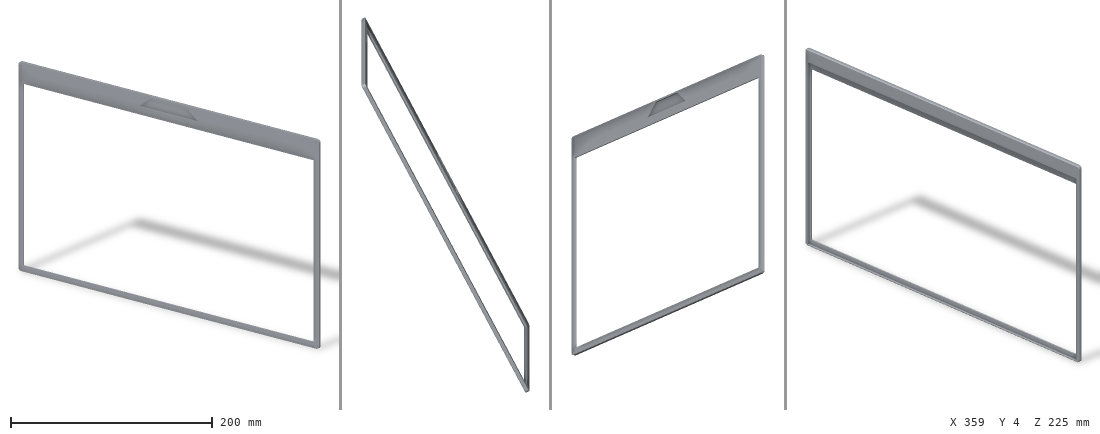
import cadquery as cq

width = 359.0
thickness = 4.0
height = 225.0
corner_radius = 3.2
rear_chamfer = 0.7

side_border = 6.0
top_border = 22.5
bottom_border = 6.5

skin_thickness = 1.5
side_rim = 3.5
top_rim = 14.5
bottom_rim = 1.5

recess_bottom_width = 71.0
recess_top_width = 41.0
recess_top_gap = 1.8
recess_height = 12.2
recess_corner_radius = 5.5
recess_depth = 1.5

hole_diameter = 1.5
upper_corner_inset = (3.2, 3.5)
lower_corner_inset = (1.8, 2.5)
upper_hole_spacing = 220.5
upper_hole_inset = 2.5
lower_hole_inset = 2.5

top = height / 2
bottom = -height / 2
side = width / 2
front = -thickness / 2


def front_plane():
    """Sketch plane on the front face, with its normal pointing out of the part."""
    return cq.Workplane("XZ", origin=(0, front, 0))


def make_opening(side_margin, top_margin, bottom_margin, start):
    """Rectangular cutter from depth `start` to the back face, set in from the outer edges."""
    opening_center = (bottom_margin - top_margin) / 2
    return (
        cq.Workplane("XZ", origin=(0, start, opening_center))
        .rect(width - 2 * side_margin, height - top_margin - bottom_margin)
        .extrude(start - thickness / 2)
    )


def make_frame():
    """Rounded plate with a chamfered rear edge and a rectangular window."""
    plate = (
        cq.Workplane("XY")
        .box(width, thickness, height)
        .edges("|Y")
        .fillet(corner_radius)
        .faces(">Y")
        .edges()
        .chamfer(rear_chamfer)
    )
    return plate.cut(make_opening(side_border, top_border, bottom_border, front))


def make_rear_pocket():
    """Pocket behind the window border, open to the back face."""
    return make_opening(side_rim, top_rim, bottom_rim, front + skin_thickness)


def make_recess():
    """Trapezoidal pocket with its two upper corners rounded."""
    recess_top = top - recess_top_gap
    recess_bottom = recess_top - recess_height
    return (
        front_plane()
        .polyline(
            [
                (-recess_bottom_width / 2, recess_bottom),
                (recess_bottom_width / 2, recess_bottom),
                (recess_top_width / 2, recess_top),
                (-recess_top_width / 2, recess_top),
            ]
        )
        .close()
        .extrude(-recess_depth)
        .edges("|Y and >Z")
        .fillet(recess_corner_radius)
    )


def make_holes():
    """Through holes at the corners, along the top and at the bottom center."""
    points = [(0, bottom + lower_hole_inset)]
    for sign in (-1, 1):
        points.append((sign * (side - upper_corner_inset[0]), top - upper_corner_inset[1]))
        points.append((sign * (side - lower_corner_inset[0]), bottom + lower_corner_inset[1]))
        points.append((sign * upper_hole_spacing / 2, top - upper_hole_inset))
    return front_plane().pushPoints(points).circle(hole_diameter / 2).extrude(-thickness)


result = make_frame().cut(make_rear_pocket()).cut(make_recess()).cut(make_holes())